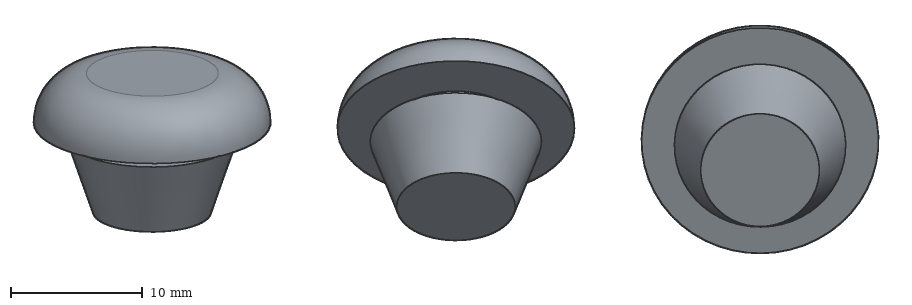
import cadquery as cq
import math

head_radius = 9.0
dome_radius = 4.0
flat_radius = head_radius - dome_radius
neck_radius = flat_radius
neck_height = 1.2
plug_top_radius = 6.5
plug_tip_radius = 4.5
plug_height = 6.0

neck_bottom = plug_height
head_bottom = neck_bottom + neck_height
head_top = head_bottom + dome_radius

arc_offset = dome_radius * math.sin(math.radians(45))
rim_middle = (flat_radius + arc_offset, head_bottom + arc_offset)

half_section = (
    cq.Workplane("XZ")
    .lineTo(plug_tip_radius, 0)
    .lineTo(plug_top_radius, neck_bottom)
    .lineTo(neck_radius, neck_bottom)
    .lineTo(neck_radius, head_bottom)
    .lineTo(head_radius, head_bottom)
    .threePointArc(rim_middle, (flat_radius, head_top))
    .lineTo(0, head_top)
    .close()
)

result = half_section.revolve(360, (0, 0, 0), (0, 1, 0))